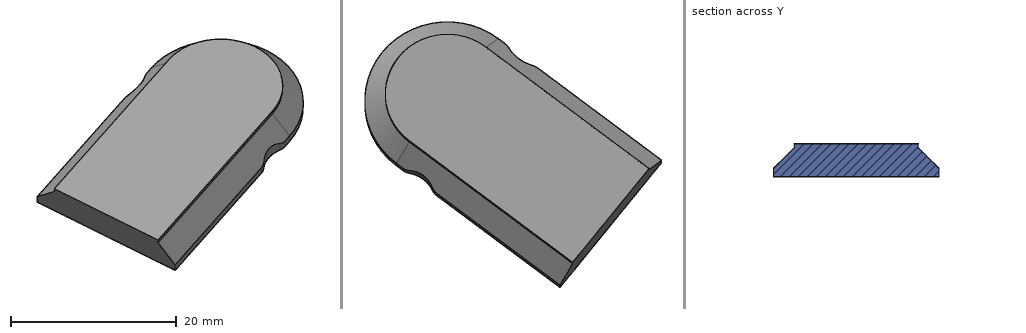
import cadquery as cq
import math

length = 35.0
width = 20.0
height = 4.0
bottom_radius = width / 2

foot_height = 1.0
bevel = 2.5
top_radius = bottom_radius - bevel

notch_offset = 3.57
notch_depth = 0.63
notch_half_width = 2.6
notch_round_half_width = 1.75

run_in = 0.35

notch_angle = 2 * math.atan(notch_depth / notch_half_width)
blend_radius = (notch_half_width - notch_round_half_width) / math.sin(notch_angle)
notch_blend_depth = blend_radius * (1 - math.cos(notch_angle))

round_center_y = length - bottom_radius
notch_y = round_center_y - notch_offset


def tongue(radius, base_z, thickness):
    """Plate with a flat end and a full-round end."""
    return (
        cq.Workplane("XY")
        .workplane(offset=base_z)
        .moveTo(-radius, 0)
        .lineTo(radius, 0)
        .lineTo(radius, round_center_y)
        .threePointArc((0, round_center_y + radius), (-radius, round_center_y))
        .close()
        .extrude(thickness)
    )


def bevel_band():
    """Sloping middle: a straight trapezoid prism joined to a truncated cone."""
    top_z = foot_height + bevel
    prism = (
        cq.Workplane("XZ")
        .polyline([
            (-bottom_radius, foot_height),
            (bottom_radius, foot_height),
            (top_radius, top_z),
            (-top_radius, top_z),
        ])
        .close()
        .extrude(-round_center_y)
    )
    cone = cq.Workplane(
        cq.Solid.makeCone(
            bottom_radius, top_radius, bevel,
            pnt=cq.Vector(0, round_center_y, foot_height),
        )
    )
    return prism.union(cone)


def notch(side):
    """Cutter for the grip notch on the side at x = side * bottom_radius."""
    edge_x = side * bottom_radius
    blend_x = edge_x - side * notch_blend_depth
    deep_x = edge_x - side * notch_depth
    outside_x = edge_x + side * notch_depth
    return (
        cq.Workplane("XY")
        .moveTo(outside_x, notch_y - notch_half_width - run_in)
        .lineTo(edge_x, notch_y - notch_half_width - run_in)
        .lineTo(edge_x, notch_y - notch_half_width)
        .tangentArcPoint((blend_x, notch_y - notch_round_half_width), relative=False)
        .tangentArcPoint((deep_x, notch_y), relative=False)
        .tangentArcPoint((blend_x, notch_y + notch_round_half_width), relative=False)
        .tangentArcPoint((edge_x, notch_y + notch_half_width), relative=False)
        .lineTo(outside_x, notch_y + notch_half_width)
        .close()
        .extrude(height)
    )


rim_z = foot_height + bevel
result = tongue(bottom_radius, 0, foot_height)
result = result.union(bevel_band())
result = result.union(tongue(top_radius, rim_z, height - rim_z))
for side in (-1, 1):
    result = result.cut(notch(side))